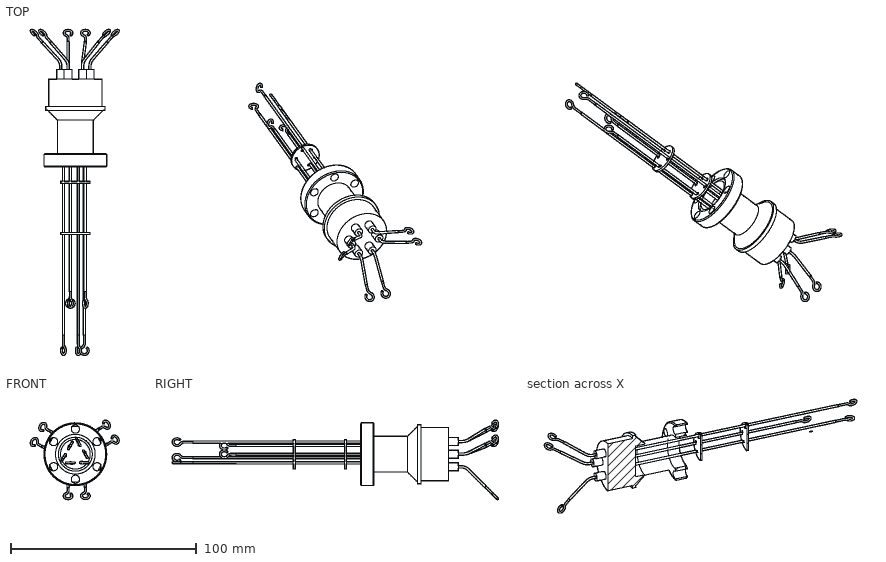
import cadquery as cq
import math


flange_radius = 16.95
flange_thickness = 7.4
flange_chamfer = 0.6
neck_radius = 9.7
bore_radius = 9.15
recess_radius = 10.7
knife_tip_depth = 0.6
knife_base_depth = 1.3
bolt_count = 6
bolt_circle_radius = 13.5
bolt_hole_radius = 2.2

header_radius = 14.4
header_end = 47.45
lip_radius = 16.0
lip_start = 30.65
lip_thickness = 2.1
cone_start = 25.35
cone_large_radius = neck_radius + lip_start - cone_start

sleeve_radius = 2.2
sleeve_length = 5.3
sleeve_end = header_end + sleeve_length
sleeve_count = 6
sleeve_circle_radius = 7.85

stem_radius = 0.65
hook_wire_radius = 0.55
pair_count = 3
pair_step = 360 / pair_count
ring_radius = 2.1
hook_neck_radius = 2.5
ring_gap_angle = 40

short_wire_xz = (-2.7, -4.65)
long_wire_xz = (4.85, -4.6)
short_wire_tip = -76.0
short_hook_length = 9.1
long_wire_tip = -101.45
long_hook_length = 11.2

disc_radius = 8.0
disc_thickness = 1.2
disc_centers = (-8.1, -35.7)
spare_hole_count = 6
spare_hole_radius = 0.55
spare_hole_circle_radius = 5.4
spare_hole_angle = 10

overall_length = 175.78
lead_tip = long_wire_tip + overall_length
lead_start_length = 1.55
lead_bend_radius = 5.5
lead_slope = 45
lead_hook_start = 67.45
lead_twists = (0, 7.8)


def hook_path(plane, ring_distance):
    """Straight stem along local X, then an S-shaped neck into a ring centred on the stem axis."""
    center_span = hook_neck_radius + ring_radius
    neck_start = ring_distance - math.sqrt(center_span**2 - hook_neck_radius**2)
    neck_angle = math.asin(hook_neck_radius / center_span)

    def ring_point(angle):
        return (ring_distance + ring_radius * math.cos(angle), ring_radius * math.sin(angle))

    half_sweep = (math.pi / 2 - neck_angle) / 2
    neck_middle = (
        neck_start + hook_neck_radius * math.sin(half_sweep),
        hook_neck_radius * (1 - math.cos(half_sweep)),
    )
    ring_start_angle = math.pi - neck_angle
    ring_end_angle = math.radians(ring_gap_angle) - math.pi
    return (
        cq.Workplane(plane)
        .lineTo(neck_start, 0)
        .threePointArc(neck_middle, ring_point(ring_start_angle))
        .threePointArc(ring_point((ring_start_angle + ring_end_angle) / 2), ring_point(ring_end_angle))
    )


def wire_along(plane, path, wire_radius):
    """Round wire swept from the plane's origin, where the path runs along local X."""
    section = cq.Plane(origin=plane.origin, xDir=plane.yDir, normal=plane.xDir)
    return cq.Workplane(section).circle(wire_radius).sweep(path)


def turned(body, index):
    return body.rotate((0, 0, 0), (0, -1, 0), index * pair_step)


def make_shell():
    """Flange, neck, cone and header turned about the Y axis, bored from the sealing face."""
    return (
        cq.Workplane("XY")
        .moveTo(bore_radius, knife_tip_depth)
        .lineTo(recess_radius, knife_base_depth)
        .lineTo(recess_radius, 0)
        .lineTo(flange_radius - flange_chamfer, 0)
        .lineTo(flange_radius, flange_chamfer)
        .lineTo(flange_radius, flange_thickness - flange_chamfer)
        .lineTo(flange_radius - flange_chamfer, flange_thickness)
        .lineTo(neck_radius, flange_thickness)
        .lineTo(neck_radius, cone_start)
        .lineTo(cone_large_radius, lip_start)
        .lineTo(lip_radius, lip_start)
        .lineTo(lip_radius, lip_start + lip_thickness)
        .lineTo(header_radius, lip_start + lip_thickness)
        .lineTo(header_radius, header_end)
        .lineTo(0, header_end)
        .lineTo(0, lip_start)
        .lineTo(bore_radius, lip_start)
        .close()
        .revolve(360, (0, 0, 0), (0, 1, 0))
    )


def make_bolt_holes():
    return (
        cq.Workplane("XZ")
        .polarArray(bolt_circle_radius, 90, 360, bolt_count)
        .circle(bolt_hole_radius)
        .extrude(-flange_thickness)
    )


def make_sleeves():
    return (
        cq.Workplane("XZ", origin=(0, header_end, 0))
        .polarArray(sleeve_circle_radius, 0, 360, sleeve_count)
        .circle(sleeve_radius)
        .extrude(-sleeve_length)
    )


def make_vacuum_wire(position, tip, hook_length):
    """Wire from the header face toward -Y; its hook first leans to -X."""
    x, z = position
    stem_end = tip + hook_length
    stem = (
        cq.Workplane("XZ", origin=(x, lip_start, z))
        .circle(stem_radius)
        .extrude(lip_start - stem_end)
    )
    plane = cq.Plane(origin=(x, stem_end, z), xDir=(0, -1, 0), normal=(0, 0, -1))
    ring_distance = hook_length - ring_radius - hook_wire_radius
    return stem.union(wire_along(plane, hook_path(plane, ring_distance), hook_wire_radius))


def make_disc(center):
    """Spacer disc with a ring of spare holes, some of them partly filled by a wire."""
    middle = cq.Workplane("XZ", origin=(0, center, 0))
    disc = middle.circle(disc_radius).extrude(disc_thickness / 2, both=True)
    spare_holes = (
        middle.polarArray(spare_hole_circle_radius, spare_hole_angle, 360, spare_hole_count)
        .circle(spare_hole_radius)
        .extrude(disc_thickness / 2, both=True)
    )
    return disc.cut(spare_holes)


def make_feedthrough():
    feedthrough = make_shell().cut(make_bolt_holes()).union(make_sleeves())
    for wire in (
        make_vacuum_wire(short_wire_xz, short_wire_tip, short_hook_length),
        make_vacuum_wire(long_wire_xz, long_wire_tip, long_hook_length),
    ):
        for index in range(pair_count):
            feedthrough = feedthrough.union(turned(wire, index))
    for center in disc_centers:
        feedthrough = feedthrough.union(make_disc(center))
    return feedthrough


def make_lead(side, twist):
    """Air-side wire of the lowest pair: it bends from +Y toward -Z and ends in a hook."""
    slope = math.radians(lead_slope)
    sin_slope, cos_slope = math.sin(slope), math.cos(slope)
    sleeve_angle = math.radians(360 / sleeve_count)
    start_x = side * sleeve_circle_radius * math.cos(sleeve_angle)
    start_z = -sleeve_circle_radius * math.sin(sleeve_angle)
    lean_x = math.sin(math.radians(twist))
    lean_z = -math.cos(math.radians(twist))

    bend_end = (
        lead_start_length + lead_bend_radius * sin_slope,
        lead_bend_radius * (1 - cos_slope),
    )
    bend_middle = (
        lead_start_length + lead_bend_radius * math.sin(slope / 2),
        lead_bend_radius * (1 - math.cos(slope / 2)),
    )
    stem_rise = lead_hook_start - sleeve_end
    stem_offset = bend_end[1] + (stem_rise - bend_end[0]) * math.tan(slope)
    stem_plane = cq.Plane(
        origin=(start_x, sleeve_end, start_z), xDir=(0, 1, 0), normal=(lean_z, 0, -lean_x)
    )
    stem_path = (
        cq.Workplane(stem_plane)
        .lineTo(lead_start_length, 0)
        .threePointArc(bend_middle, bend_end)
        .lineTo(stem_rise, stem_offset)
    )

    hook_origin = (start_x + stem_offset * lean_x, lead_hook_start, start_z + stem_offset * lean_z)
    hook_plane = cq.Plane(
        origin=hook_origin, xDir=(0, cos_slope, -sin_slope), normal=(0, sin_slope, cos_slope)
    )
    ring_center = lead_tip - ring_radius * cos_slope - hook_wire_radius
    ring_distance = (ring_center - lead_hook_start) / cos_slope
    hook = wire_along(hook_plane, hook_path(hook_plane, ring_distance), hook_wire_radius)
    return wire_along(stem_plane, stem_path, stem_radius).union(hook)


feedthrough = make_feedthrough()
leads = []
for side, twist in zip((-1, 1), lead_twists):
    lead = make_lead(side, twist)
    for index in range(pair_count):
        leads.append(turned(lead, index).val())

result = cq.Compound.makeCompound([feedthrough.val(), *leads])